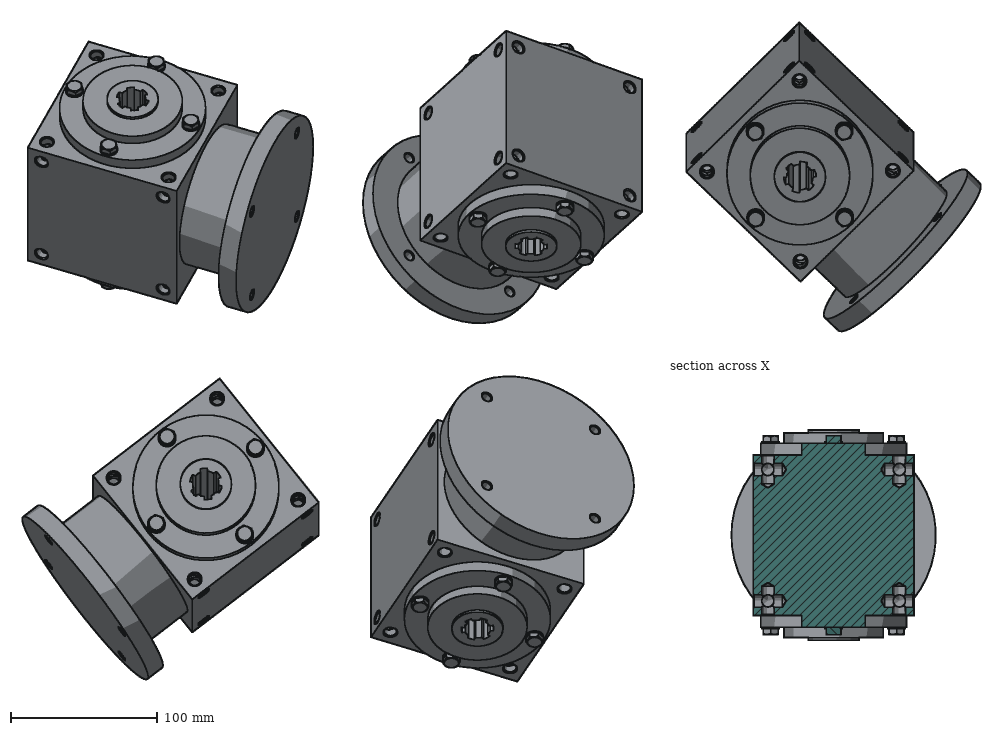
import cadquery as cq
import math

overall_length = 160.0
overall_height = 144.0

cover_diameter = 100.0
cover_thickness = 8.0
boss_diameter = 68.0
boss_height = 7.0
shaft_diameter = 35.0
shaft_overhang = 2.0

block_size = overall_height - 2 * (cover_thickness + boss_height + shaft_overhang)
half_block = block_size / 2

neck_diameter = cover_diameter
flange_diameter = 140.0
flange_thickness = 13.0
flange_end = overall_length - half_block
neck_length = flange_end - flange_thickness - half_block
flange_hole_diameter = 6.7
flange_hole_mouth = 8.0
flange_hole_spacing = 81.3
countersink_angle = 90.0

mount_hole_diameter = 8.3
mount_hole_mouth = 10.0
mount_hole_spacing = 90.0
mount_hole_depth = 20.0
drill_point_angle = 118.0

spline_count = 6
spline_minor_diameter = 18.0
spline_major_diameter = 22.0
spline_slot_width = 5.0

screw_circle_radius = 43.0
screws_per_cover = 4
screw_collar_diameter = 12.0
screw_collar_height = 1.0
screw_head_height = 4.2
screw_side_count = 6
screw_corner_diameter = 12.0
screw_top_diameter = 10.0
screw_chamfer_angle = 45.0


def mount_hole_cutter():
    """Blind drilled hole with a chamfered mouth, opening at z = 0 and running down -Z."""
    radius = mount_hole_diameter / 2
    mouth_radius = mount_hole_mouth / 2
    tip_length = radius / math.tan(math.radians(drill_point_angle / 2))
    profile = (
        cq.Workplane("XZ")
        .moveTo(0, 0)
        .lineTo(mouth_radius, 0)
        .lineTo(radius, radius - mouth_radius)
        .lineTo(radius, -mount_hole_depth)
        .lineTo(0, -mount_hole_depth - tip_length)
        .close()
    )
    return profile.revolve(360, (0, 0, 0), (0, 1, 0))


def face_mount_holes():
    """Four mounting-hole cutters placed on the +Z face of the block."""
    cutter = mount_hole_cutter().val()
    return (
        cq.Workplane("XY", origin=(0, 0, half_block))
        .rect(mount_hole_spacing, mount_hole_spacing, forConstruction=True)
        .vertices()
        .eachpoint(lambda location: cutter.located(location))
    )


def make_flange():
    """Round flange disc with four through holes, countersunk on both faces."""
    flange = (
        cq.Workplane("YZ", origin=(half_block + neck_length, 0, 0))
        .circle(flange_diameter / 2)
        .extrude(flange_thickness)
    )
    for face in ("<X", ">X"):
        flange = (
            flange.faces(face)
            .workplane()
            .rect(flange_hole_spacing, flange_hole_spacing, forConstruction=True)
            .vertices()
            .cskHole(flange_hole_diameter, flange_hole_mouth, countersink_angle)
        )
    return flange


def make_housing():
    """Block with its covers, neck and flange, bored through for the shaft."""
    housing = cq.Workplane("XY").box(block_size, block_size, block_size)

    cover_span = block_size + 2 * cover_thickness
    boss_span = cover_span + 2 * boss_height
    housing = housing.union(cq.Workplane("XY").circle(cover_diameter / 2).extrude(cover_span / 2, both=True))
    housing = housing.union(cq.Workplane("XY").circle(boss_diameter / 2).extrude(boss_span / 2, both=True))

    neck = cq.Workplane("YZ", origin=(half_block, 0, 0)).circle(neck_diameter / 2).extrude(neck_length)
    housing = housing.union(neck).union(make_flange())

    holes = face_mount_holes()
    for angle in (0, 90, 180, 270):
        housing = housing.cut(holes.rotate((0, 0, 0), (1, 0, 0), angle))
    housing = housing.cut(holes.rotate((0, 0, 0), (0, 1, 0), -90))

    bore = cq.Workplane("XY").circle(shaft_diameter / 2).extrude(overall_height / 2, both=True)
    return housing.cut(bore)


def make_shaft():
    """Hollow output shaft with a splined through bore."""
    half_length = overall_height / 2
    shaft = cq.Workplane("XY").circle(shaft_diameter / 2).extrude(half_length, both=True)
    bore = cq.Workplane("XY").circle(spline_minor_diameter / 2).extrude(half_length, both=True)

    major_cylinder = cq.Workplane("XY").circle(spline_major_diameter / 2).extrude(half_length, both=True)
    for index in range(spline_count // 2):
        bar = (
            cq.Workplane("XY")
            .rect(2 * spline_major_diameter, spline_slot_width)
            .extrude(half_length, both=True)
            .rotate((0, 0, 0), (0, 0, 1), index * 360 / spline_count)
        )
        bore = bore.union(bar.intersect(major_cylinder))
    return shaft.cut(bore)


def make_screw():
    """Hexagon screw head on a round collar, seated at z = 0."""
    collar = cq.Workplane("XY").circle(screw_collar_diameter / 2).extrude(screw_collar_height)
    hexagon = (
        cq.Workplane("XY", origin=(0, 0, screw_collar_height))
        .polygon(screw_side_count, screw_corner_diameter)
        .extrude(screw_head_height)
    )

    top = screw_collar_height + screw_head_height
    corner_radius = screw_corner_diameter / 2
    top_radius = screw_top_diameter / 2
    bevel_drop = (corner_radius - top_radius) * math.tan(math.radians(screw_chamfer_angle))
    envelope = (
        cq.Workplane("XZ")
        .moveTo(0, 0)
        .lineTo(corner_radius, 0)
        .lineTo(corner_radius, top - bevel_drop)
        .lineTo(top_radius, top)
        .lineTo(0, top)
        .close()
        .revolve(360, (0, 0, 0), (0, 1, 0))
    )
    return collar.union(hexagon.intersect(envelope))


def make_screws():
    """Ring of screws on the top cover, mirrored to the bottom cover."""
    screws = []
    seat_height = half_block + cover_thickness
    for index in range(screws_per_cover):
        angle = math.radians(index * 360 / screws_per_cover)
        x = screw_circle_radius * math.cos(angle)
        y = screw_circle_radius * math.sin(angle)
        upper_screw = make_screw().translate((x, y, seat_height))
        screws.append(upper_screw.val())
        screws.append(upper_screw.mirror("XY").val())
    return screws


housing = make_housing()
shaft = make_shaft()
screws = make_screws()

result = cq.Compound.makeCompound([housing.val(), shaft.val(), *screws])